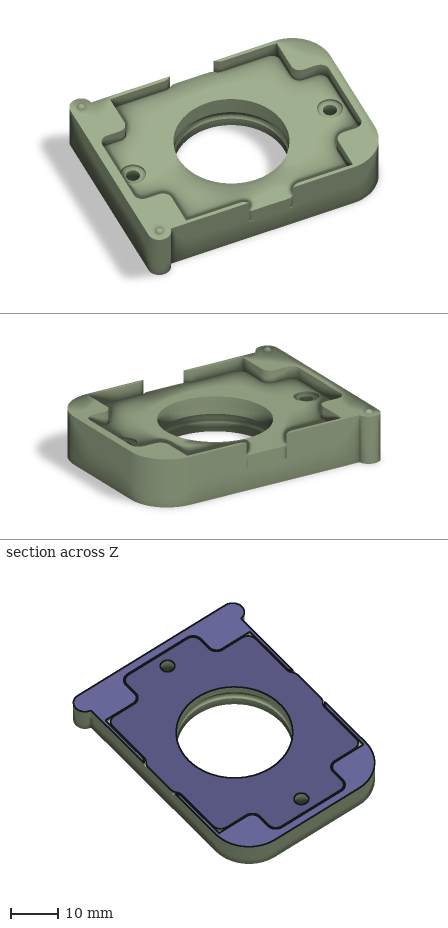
import cadquery as cq
import math

LEDGE_Z = 2.0
SPIGOT_Z = 4.0
FLOOR_Z = 5.0
PLATE_THICKNESS = 1.5
FRONT_RIM_Z = 10.8
BACK_RIM_Z = 11.0
NUB_TOP_Z = 11.45

HALF_WIDTH = 20.15
BACK_Y = 28.15
FRONT_Y = -28.3
BACK_CORNER_RADIUS = 8.9
EAR_TIP_X = 22.3
EAR_DEPTH = 5.0
EAR_RADIUS = 2.45
EAR_Y = FRONT_Y + EAR_DEPTH / 2
NUB_X = 19.8
NUB_RADIUS = 1.0

BORE_DIAMETER = 24.5
SPIGOT_DIAMETER = 26.5
SPIGOT_BORE_DIAMETER = 27.0
SCREW_DIAMETER = 3.0
COUNTERBORE_DIAMETER = 5.5
COUNTERBORE_DEPTH = 0.5
SCREW_Y = 22.85

SQUARE_HALF = 19.2
TAB_HALF_WIDTH = 9.85
TAB_END_Y = 26.15
OUTLINE_RADIUS = 2.0
SIDE_TAB_HALF_FLAT = 3.93

POCKET_GAP = 0.15
POCKET_SIDE_TAB_HALF_FLAT = 4.25


def cylinder(diameter, bottom, top, y=0.0):
    """Vertical cylinder centred on X = 0."""
    return cq.Workplane("XY", origin=(0, y, bottom)).circle(diameter / 2).extrude(top - bottom)


def block(half_x, half_y, bottom, top):
    """Box centred on the bore axis."""
    return cq.Workplane("XY", origin=(0, 0, bottom)).rect(2 * half_x, 2 * half_y).extrude(top - bottom)


def side_tabs(root_x, tip_x, half_flat, bottom, top):
    """Bar across the plate whose two ends blend into the square with S-shaped sides."""
    half_step = (tip_x - root_x) / 2
    sweep = math.acos(1 - half_step / OUTLINE_RADIUS)
    rise = OUTLINE_RADIUS * math.sin(sweep)
    arc_x = OUTLINE_RADIUS * (1 - math.cos(sweep / 2))
    arc_y = OUTLINE_RADIUS * math.sin(sweep / 2)
    middle = (root_x + half_step, half_flat + rise)
    root = (root_x, half_flat + 2 * rise)
    tip_arc = (tip_x - arc_x, half_flat + arc_y)
    root_arc = (root_x + arc_x, root[1] - arc_y)

    right_half = (
        cq.Workplane("XY", origin=(0, 0, bottom))
        .moveTo(0, -root[1])
        .lineTo(root[0], -root[1])
        .threePointArc((root_arc[0], -root_arc[1]), (middle[0], -middle[1]))
        .threePointArc((tip_arc[0], -tip_arc[1]), (tip_x, -half_flat))
        .lineTo(tip_x, half_flat)
        .threePointArc(tip_arc, middle)
        .threePointArc(root_arc, root)
        .lineTo(0, root[1])
        .close()
        .extrude(top - bottom)
    )
    return right_half.union(right_half.mirror("YZ"))


def plate_prism(gap, side_half_flat, round_square, bottom, top):
    """Prism of the plate outline, grown outward by the gap."""
    square_half = SQUARE_HALF + gap
    tab_half_width = TAB_HALF_WIDTH + gap
    square = block(square_half, square_half, bottom, top)
    if round_square:
        square = square.edges("|Z").fillet(OUTLINE_RADIUS)
    tabs = block(tab_half_width, TAB_END_Y + gap, bottom, top).edges("|Z").fillet(OUTLINE_RADIUS)
    prism = square.union(tabs)

    reach = OUTLINE_RADIUS / 2
    corner_zone = cq.selectors.BoxSelector(
        (-tab_half_width - reach, -square_half - reach, bottom - 1),
        (tab_half_width + reach, square_half + reach, top + 1),
    )
    prism = prism.edges("|Z").edges(corner_zone).fillet(OUTLINE_RADIUS)
    return prism.union(side_tabs(square_half, HALF_WIDTH + gap, side_half_flat, bottom, top))


def make_housing():
    body = (
        cq.Workplane("XY", origin=(0, (BACK_Y + EAR_Y) / 2, 0))
        .rect(2 * HALF_WIDTH, BACK_Y - EAR_Y)
        .extrude(BACK_RIM_Z)
        .edges("|Z and >Y")
        .fillet(BACK_CORNER_RADIUS)
    )

    front_bar = (
        cq.Workplane("XY", origin=(0, EAR_Y, 0))
        .rect(2 * EAR_TIP_X, EAR_DEPTH)
        .extrude(BACK_RIM_Z)
        .edges("|Z")
        .fillet(EAR_RADIUS)
    )
    body = body.union(front_bar)

    front_half = cq.Workplane("XY", origin=(0, FRONT_Y / 2, FRONT_RIM_Z)).rect(4 * HALF_WIDTH, -FRONT_Y)
    body = body.cut(front_half.extrude(BACK_RIM_Z))

    pocket = plate_prism(POCKET_GAP, POCKET_SIDE_TAB_HALF_FLAT, False, FLOOR_Z, BACK_RIM_Z)
    body = body.cut(pocket)

    body = body.cut(cylinder(BORE_DIAMETER, 0, FLOOR_Z))
    body = body.cut(cylinder(SPIGOT_BORE_DIAMETER, LEDGE_Z, FLOOR_Z))
    for y in (-SCREW_Y, SCREW_Y):
        body = body.cut(cylinder(SCREW_DIAMETER, 0, FLOOR_Z, y))

    for x in (-NUB_X, NUB_X):
        nub = cq.Workplane("XY", origin=(x, EAR_Y, NUB_TOP_Z - NUB_RADIUS)).sphere(NUB_RADIUS)
        body = body.union(nub)
    return body


def make_plate(bottom):
    """Flat plate with the large bore and two screw holes."""
    top = bottom + PLATE_THICKNESS
    plate = plate_prism(0, SIDE_TAB_HALF_FLAT, True, bottom, top)
    plate = plate.cut(cylinder(BORE_DIAMETER, bottom, top))
    for y in (-SCREW_Y, SCREW_Y):
        plate = plate.cut(cylinder(SCREW_DIAMETER, bottom, top, y))
    return plate


def make_lower_plate():
    spigot = cylinder(SPIGOT_DIAMETER, SPIGOT_Z, FLOOR_Z).cut(cylinder(BORE_DIAMETER, SPIGOT_Z, FLOOR_Z))
    return make_plate(FLOOR_Z).union(spigot)


def make_upper_plate():
    bottom = FLOOR_Z + PLATE_THICKNESS
    top = bottom + PLATE_THICKNESS
    plate = make_plate(bottom)
    for y in (-SCREW_Y, SCREW_Y):
        plate = plate.cut(cylinder(COUNTERBORE_DIAMETER, top - COUNTERBORE_DEPTH, top, y))
    return plate


housing = make_housing()
lower_plate = make_lower_plate()
upper_plate = make_upper_plate()

result = cq.Compound.makeCompound([housing.val(), lower_plate.val(), upper_plate.val()])